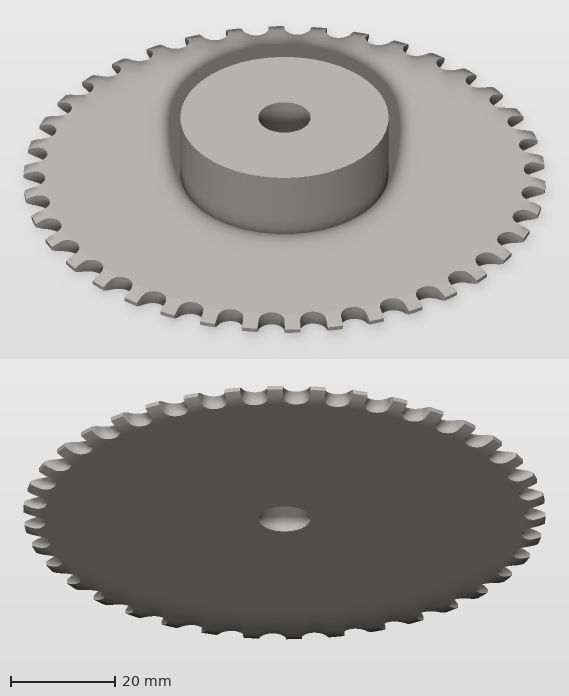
import cadquery as cq
import math

tooth_count = 38
tip_diameter = 100.2
root_diameter = 91.9
seat_radius = 2.5
plate_thickness = 2.8
crown_start_radius = 46.2
crown_arc_radius = 8.0
hub_diameter = 40.0
total_height = 16.0
bore_diameter = 10.0

tip_radius = tip_diameter / 2
seat_center_radius = root_diameter / 2 + seat_radius
tooth_pitch_angle = 360 / tooth_count


def crowned_plate():
    """Disc whose rim thins toward the tip along arcs tangent to both flat faces."""
    sweep = math.asin((tip_radius - crown_start_radius) / crown_arc_radius)
    tip_drop = crown_arc_radius * (1 - math.cos(sweep))
    mid_radius = crown_start_radius + crown_arc_radius * math.sin(sweep / 2)
    mid_drop = crown_arc_radius * (1 - math.cos(sweep / 2))
    return (
        cq.Workplane("YZ")
        .lineTo(crown_start_radius, 0)
        .threePointArc((mid_radius, mid_drop), (tip_radius, tip_drop))
        .lineTo(tip_radius, plate_thickness - tip_drop)
        .threePointArc(
            (mid_radius, plate_thickness - mid_drop),
            (crown_start_radius, plate_thickness),
        )
        .lineTo(0, plate_thickness)
        .close()
        .revolve(360, (0, 0, 0), (0, 1, 0))
    )


def tooth_gap():
    """Gap centred on +X: a round seat whose flanks run parallel to the neighbouring tooth axes."""
    flank_angle = math.radians(tooth_pitch_angle / 2)
    flank_length = 2 * (tip_radius - seat_center_radius)
    flank_start_x = seat_center_radius - seat_radius * math.sin(flank_angle)
    flank_start_y = seat_radius * math.cos(flank_angle)
    flank_end_x = flank_start_x + flank_length * math.cos(flank_angle)
    flank_end_y = flank_start_y + flank_length * math.sin(flank_angle)
    return (
        cq.Workplane("XY")
        .moveTo(flank_end_x, flank_end_y)
        .lineTo(flank_start_x, flank_start_y)
        .threePointArc((root_diameter / 2, 0), (flank_start_x, -flank_start_y))
        .lineTo(flank_end_x, -flank_end_y)
        .close()
        .extrude(plate_thickness)
    )


def toothed_plate():
    """Crowned plate with the gap repeated evenly around the rim."""
    plate = crowned_plate()
    gap = tooth_gap()
    for index in range(tooth_count):
        plate = plate.cut(gap.rotate((0, 0, 0), (0, 0, 1), index * tooth_pitch_angle))
    return plate


hub = cq.Workplane("XY").circle(hub_diameter / 2).extrude(total_height)
bore = cq.Workplane("XY").circle(bore_diameter / 2).extrude(total_height)

result = toothed_plate().union(hub).cut(bore)